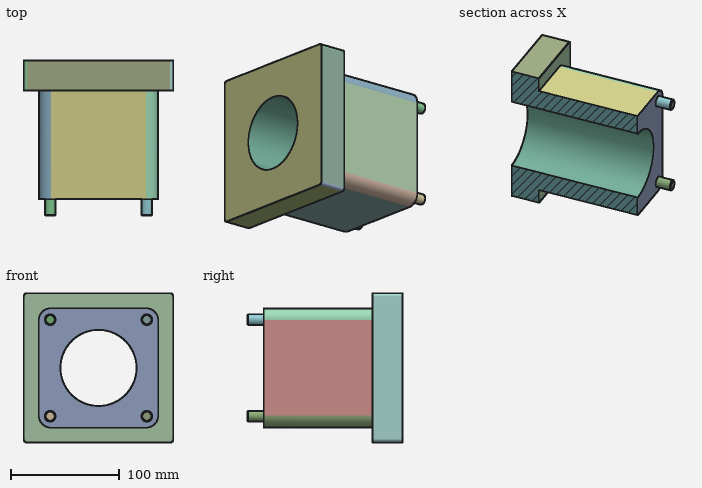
import cadquery as cq

flange_side = 138.0
flange_thickness = 28.0
flange_corner_radius = 3.0
flange_edge_chamfer = 0.3

body_side = 110.0
body_length = 100.0
body_corner_radius = 11

bore_diameter = 70.0

stud_diameter = 10.0
stud_tip_diameter = 8.38
stud_projection = 15.0
stud_pitch = 89.0
stud_tip_chamfer = (stud_diameter - stud_tip_diameter) / 2

flange_back_y = flange_thickness
body_front_y = -body_length


def plane_facing_front(y):
    """Workplane at the given Y whose extrusions run toward -Y."""
    return cq.Workplane("XZ", origin=(0, y, 0))


def rounded_square_bar(back_y, side, length, corner_radius):
    """Square bar running from back_y toward -Y, with its long edges rounded."""
    bar = plane_facing_front(back_y).rect(side, side).extrude(length)
    return bar.edges("|Y").fillet(corner_radius)


def make_flange():
    flange = rounded_square_bar(flange_back_y, flange_side, flange_thickness, flange_corner_radius)
    return flange.faces("<Y or >Y").edges().chamfer(flange_edge_chamfer)


def make_body():
    return rounded_square_bar(0, body_side, body_length, body_corner_radius)


def make_studs():
    """Four studs on a square pattern, each with a chamfered tip."""
    studs = (
        plane_facing_front(body_front_y)
        .rect(stud_pitch, stud_pitch, forConstruction=True)
        .vertices()
        .circle(stud_diameter / 2)
        .extrude(stud_projection)
    )
    return studs.faces("<Y").edges().chamfer(stud_tip_chamfer)


def make_bore():
    return plane_facing_front(flange_back_y).circle(bore_diameter / 2).extrude(flange_thickness + body_length)


result = make_flange().union(make_body()).union(make_studs()).cut(make_bore())